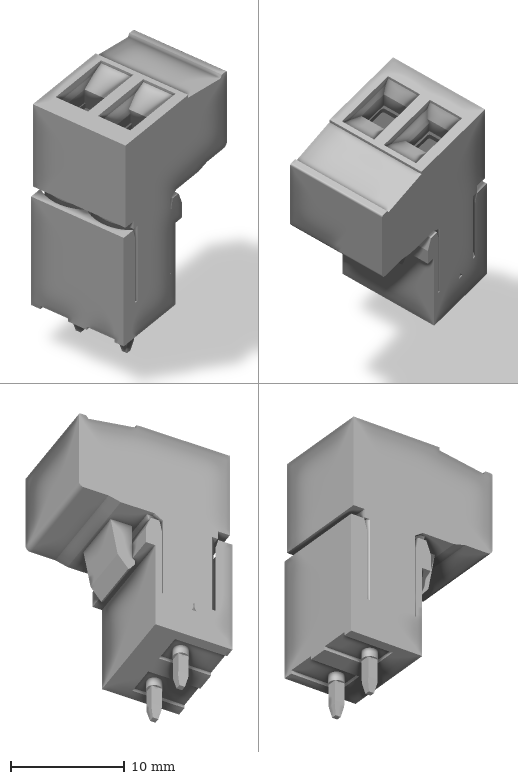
import cadquery as cq
import math


WIDTH = 10.18
PITCH = 5.08
POLE_SIDES = (-1, 1)
POLE_X = PITCH / 2
HALF_WIDTH = WIDTH / 2

HEADER_DEPTH = 7.67
HEADER_TOP = 11.97
CAVITY_FLOOR = 3.8
CAVITY_BACK = 7.02
CAVITY_RADIUS = 4.0
POLE_AXIS_Y = 4.77
LEAD_IN_HEIGHT = 1.05
LEAD_IN_WIDTH = 0.23
LUG_BACK = 8.6
LUG_BOTTOM = 9.01
LUG_SHOULDER = 10.7
LUG_TOP_BACK = 8.1
FOOT_SLOT_WIDTH = 3.03
FOOT_SLOT_DEPTH = 5.18
FOOT_SLOT_HEIGHT = 0.34

MARK_DEPTH = 0.13
MARK_STEM_WIDTH = 0.08
MARK_STEM_LENGTH = 0.4
MARK_BASE_WIDTH = 0.47
MARK_LENGTH = 0.8

PIN_Y = 3.8
PIN_WIDTH = 1.0
PIN_LENGTH = 3.9
PIN_TIP_WIDTH = 0.55
PIN_Y_TAPER_START = 2.9
PIN_X_TAPER_START = 2.56
COLLAR_DIAMETER = 1.48
COLLAR_LENGTH = 0.52

PLUG_TOP = 22.0
PLUG_BACK = 15.25
PLUG_FRONT = 0.25
PLUG_UNDERSIDE = 12.92
NECK_FRONT = 1.45
NECK_BACK = 6.9
NECK_BOTTOM = 12.07
INSERT_RADIUS = 3.75
STEP_Y = 9.53
STEP_HEIGHT = 0.3
GROOVE_Y = 14.32
GROOVE_Z = 20.9
RIDGE_FRONT = 14.5
RIDGE_TOP = 21.2
RIDGE_ROUND = 0.18
LOWER_BACK_ROUND = 0.5
RAMP_BACK = 12.3
LATCH_ROOT_BACK = 11.09
LATCH_ROOT_Z = 12.61
SHOULDER_TOP_FRONT = 7.75
SHOULDER_WIDTH = 9.32
SHOULDER_TOP_BACK = 8.25
SHOULDER_BOTTOM_BACK = 8.08

LATCH_WIDTH = 5.18
LATCH_FRONT = 8.68
LATCH_TOP_BACK = 10.8
LATCH_KNEE = (10.1, 8.9)
LATCH_TIP_BACK = (9.05, 7.61)
LATCH_TIP_FRONT = (8.85, 7.7)
HOOK_LIP_Y = 8.37
HOOK_LIP_BOTTOM = 8.42
HOOK_LIP_TOP = 8.75

FUNNEL_INNER_X = 0.55
FUNNEL_OUTER_X = 4.1
FUNNEL_FRONT = 2.3
FUNNEL_BACK = 9.01
THROAT_INNER_X = 0.9
THROAT_OUTER_X = 3.94
THROAT_FRONT = 3.13
THROAT_BACK = 6.37
THROAT_DEPTH = 1.55
TAPER_END_DEPTH = 1.97
CHAMBER_INNER_X = 1.1
CHAMBER_DEPTH = 3.0
END_LIP_DEPTH = 0.3
SIDE_LIP_DEPTH = 0.83
SCREW_WELL_INNER_X = 1.27
SCREW_WELL_OUTER_X = 3.83
SCREW_WELL_FRONT = 3.42
SCREW_WELL_DEPTH = 0.52
SCREW_WELL_ROUND = 0.25


def side_prism(points, width):
    """Extrude a closed (y, z) outline along X, centred on X = 0."""
    return cq.Workplane("YZ").polyline(points).close().extrude(width / 2, both=True)


def front_prism(points, length):
    """Extrude a closed (x, z) outline along Y, centred on Y = 0."""
    return cq.Workplane("XZ").polyline(points).close().extrude(length / 2, both=True)


def block(x_range, y_range, z_range):
    """Box between the given limits."""
    sizes = [high - low for low, high in (x_range, y_range, z_range)]
    corner = (x_range[0], y_range[0], z_range[0])
    return cq.Workplane("XY").box(*sizes, centered=False).translate(corner)


def pole_cylinders(radius, bottom, top):
    """One upright cylinder on each pole axis, merged together."""
    cylinders = cq.Workplane("XY")
    for side in POLE_SIDES:
        base = cq.Workplane("XY", origin=(side * POLE_X, POLE_AXIS_Y, bottom))
        cylinders = cylinders.union(base.circle(radius).extrude(top - bottom))
    return cylinders


def cavity():
    """Scalloped socket, open at both ends and at the top, with a flared mouth."""
    mouth_bottom = HEADER_TOP - LEAD_IN_HEIGHT
    mouth_radius = CAVITY_RADIUS + LEAD_IN_WIDTH
    socket = pole_cylinders(CAVITY_RADIUS, CAVITY_FLOOR, HEADER_TOP)
    for side in POLE_SIDES:
        flare = cq.Solid.makeCone(
            CAVITY_RADIUS, mouth_radius, LEAD_IN_HEIGHT,
            cq.Vector(side * POLE_X, POLE_AXIS_Y, mouth_bottom), cq.Vector(0, 0, 1),
        )
        socket = socket.union(cq.Workplane(flare))
    back_limit = side_prism(
        [
            (0, CAVITY_FLOOR),
            (CAVITY_BACK, CAVITY_FLOOR),
            (CAVITY_BACK, mouth_bottom),
            (CAVITY_BACK + LEAD_IN_WIDTH, HEADER_TOP),
            (0, HEADER_TOP),
        ],
        WIDTH,
    )
    return socket.intersect(back_limit)


def key_mark():
    """Shallow keyhole engraved under the cavity on the -X side."""
    stem_bottom = CAVITY_FLOOR - MARK_STEM_LENGTH
    mark_bottom = CAVITY_FLOOR - MARK_LENGTH
    outline = [
        (PIN_Y - MARK_STEM_WIDTH / 2, CAVITY_FLOOR),
        (PIN_Y - MARK_STEM_WIDTH / 2, stem_bottom),
        (PIN_Y - MARK_BASE_WIDTH / 2, mark_bottom),
        (PIN_Y + MARK_BASE_WIDTH / 2, mark_bottom),
        (PIN_Y + MARK_STEM_WIDTH / 2, stem_bottom),
        (PIN_Y + MARK_STEM_WIDTH / 2, CAVITY_FLOOR),
    ]
    return side_prism(outline, 2 * MARK_DEPTH).translate((-HALF_WIDTH, 0, 0))


def header():
    """Header housing with its locking lug, socket and underside slots."""
    body = side_prism(
        [
            (0, 0),
            (HEADER_DEPTH, 0),
            (HEADER_DEPTH, LUG_BOTTOM),
            (LUG_BACK, LUG_BOTTOM),
            (LUG_BACK, LUG_SHOULDER),
            (LUG_TOP_BACK, HEADER_TOP),
            (0, HEADER_TOP),
        ],
        WIDTH,
    )
    body = body.cut(cavity()).cut(key_mark())
    for side in POLE_SIDES:
        slot_left = side * POLE_X - FOOT_SLOT_WIDTH / 2
        slot = block(
            (slot_left, slot_left + FOOT_SLOT_WIDTH), (0, FOOT_SLOT_DEPTH), (0, FOOT_SLOT_HEIGHT)
        )
        body = body.cut(slot)
    return body


def pin_profile(taper_start):
    """Pin outline (across, z), tapering from taper_start below the header to the tip."""
    half = PIN_WIDTH / 2
    half_tip = PIN_TIP_WIDTH / 2
    return [
        (-half, FOOT_SLOT_HEIGHT),
        (-half, -taper_start),
        (-half_tip, -PIN_LENGTH),
        (half_tip, -PIN_LENGTH),
        (half, -taper_start),
        (half, FOOT_SLOT_HEIGHT),
    ]


def solder_pin():
    """Square pin with a four-sided taper and a round collar, on the Z axis."""
    shank = front_prism(pin_profile(PIN_X_TAPER_START), PIN_WIDTH)
    shank = shank.intersect(side_prism(pin_profile(PIN_Y_TAPER_START), PIN_WIDTH))
    collar_height = FOOT_SLOT_HEIGHT + COLLAR_LENGTH
    collar_base = cq.Workplane("XY", origin=(0, 0, -COLLAR_LENGTH))
    collar = collar_base.circle(COLLAR_DIAMETER / 2).extrude(collar_height)
    return shank.union(collar)


def plug_housing():
    """Plug head with its neck, plus the scalloped insert that fills the socket."""
    arc_offset = 1 - math.sqrt(0.5)
    ridge_mid = RIDGE_ROUND * arc_offset
    lower_mid = LOWER_BACK_ROUND * arc_offset
    head = (
        cq.Workplane("YZ")
        .moveTo(PLUG_FRONT, PLUG_TOP)
        .lineTo(STEP_Y, PLUG_TOP)
        .lineTo(STEP_Y, PLUG_TOP - STEP_HEIGHT)
        .lineTo(GROOVE_Y, GROOVE_Z)
        .lineTo(RIDGE_FRONT, RIDGE_TOP)
        .lineTo(PLUG_BACK - RIDGE_ROUND, RIDGE_TOP)
        .threePointArc((PLUG_BACK - ridge_mid, RIDGE_TOP - ridge_mid), (PLUG_BACK, RIDGE_TOP - RIDGE_ROUND))
        .lineTo(PLUG_BACK, PLUG_UNDERSIDE + LOWER_BACK_ROUND)
        .threePointArc(
            (PLUG_BACK - lower_mid, PLUG_UNDERSIDE + lower_mid),
            (PLUG_BACK - LOWER_BACK_ROUND, PLUG_UNDERSIDE),
        )
        .lineTo(RAMP_BACK, PLUG_UNDERSIDE)
        .lineTo(LATCH_ROOT_BACK, LATCH_ROOT_Z)
        .lineTo(SHOULDER_TOP_FRONT, LATCH_ROOT_Z)
        .lineTo(NECK_BACK, NECK_BOTTOM)
        .lineTo(NECK_FRONT, NECK_BOTTOM)
        .lineTo(NECK_FRONT, PLUG_UNDERSIDE)
        .lineTo(PLUG_FRONT, PLUG_UNDERSIDE)
        .close()
        .extrude(HALF_WIDTH, both=True)
    )
    insert_limit = block((-HALF_WIDTH, HALF_WIDTH), (0, NECK_BACK), (CAVITY_FLOOR, NECK_BOTTOM))
    insert = pole_cylinders(INSERT_RADIUS, CAVITY_FLOOR, NECK_BOTTOM).intersect(insert_limit)
    return head.union(insert)


def shoulder():
    """Rest under the plug, just above the header lug and set in from the ends."""
    outline = [
        (SHOULDER_TOP_FRONT, LATCH_ROOT_Z),
        (NECK_BACK, NECK_BOTTOM),
        (SHOULDER_BOTTOM_BACK, NECK_BOTTOM),
        (SHOULDER_TOP_BACK, LATCH_ROOT_Z),
    ]
    return side_prism(outline, SHOULDER_WIDTH)


def latch():
    """Hooked arm that hangs behind the header lug and grips under it."""
    outline = [
        (LATCH_FRONT, LATCH_ROOT_Z),
        (LATCH_TOP_BACK, LATCH_ROOT_Z),
        LATCH_KNEE,
        LATCH_TIP_BACK,
        LATCH_TIP_FRONT,
        (HOOK_LIP_Y, HOOK_LIP_BOTTOM),
        (HOOK_LIP_Y, HOOK_LIP_TOP),
        (LATCH_FRONT, LUG_BOTTOM),
    ]
    return side_prism(outline, LATCH_WIDTH)


def screw_funnel():
    """Tapered opening, straight chamber and screw well for the +X pole."""
    throat_z = PLUG_TOP - THROAT_DEPTH
    end_lip_z = PLUG_TOP - END_LIP_DEPTH
    taper_end_z = PLUG_TOP - TAPER_END_DEPTH
    chamber_floor_z = PLUG_TOP - CHAMBER_DEPTH
    side_lip_z = PLUG_TOP - SIDE_LIP_DEPTH
    lengthwise = side_prism(
        [
            (FUNNEL_FRONT, PLUG_TOP),
            (FUNNEL_FRONT, end_lip_z),
            (THROAT_FRONT, throat_z),
            (THROAT_FRONT, chamber_floor_z),
            (THROAT_BACK, chamber_floor_z),
            (THROAT_BACK, throat_z),
            (FUNNEL_BACK, end_lip_z),
            (FUNNEL_BACK, PLUG_TOP),
        ],
        WIDTH,
    )
    crosswise = front_prism(
        [
            (FUNNEL_INNER_X, PLUG_TOP),
            (FUNNEL_INNER_X, side_lip_z),
            (THROAT_INNER_X, throat_z),
            (CHAMBER_INNER_X, taper_end_z),
            (CHAMBER_INNER_X, chamber_floor_z),
            (THROAT_OUTER_X, chamber_floor_z),
            (THROAT_OUTER_X, throat_z),
            (FUNNEL_OUTER_X, side_lip_z),
            (FUNNEL_OUTER_X, PLUG_TOP),
        ],
        2 * PLUG_BACK,
    )
    screw_well = block(
        (SCREW_WELL_INNER_X, SCREW_WELL_OUTER_X),
        (SCREW_WELL_FRONT, THROAT_BACK),
        (chamber_floor_z - SCREW_WELL_DEPTH, chamber_floor_z),
    )
    screw_well = screw_well.faces("<Y").edges("|Z").fillet(SCREW_WELL_ROUND)
    return lengthwise.intersect(crosswise).union(screw_well)


def plug():
    """Complete plug with latch and one funnel per pole, mirrored about X = 0."""
    body = plug_housing().union(shoulder()).union(latch())
    funnel = screw_funnel()
    return body.cut(funnel).cut(funnel.mirror("YZ"))


assembly = header().union(plug())
for pole_side in POLE_SIDES:
    assembly = assembly.union(solder_pin().translate((pole_side * POLE_X, PIN_Y, 0)))
result = assembly